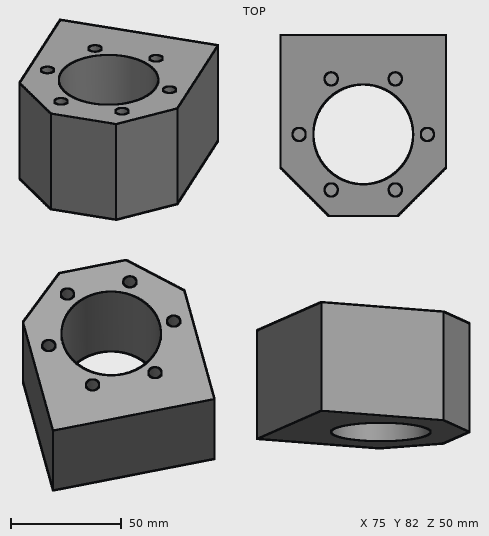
import cadquery as cq

width = 75.0
depth = 82.0
height = 50.0
front_to_bore = 37.0
corner_cut = 22.0

bore_diameter = 45.0

hole_count = 6
hole_diameter = 6.0
hole_circle_diameter = 58.0
hole_depth = 15.0


def make_block():
    """Rectangular block with its two front vertical edges cut off."""
    block = cq.Workplane("XY").box(width, depth, height, centered=(True, False, False))
    block = block.translate((0, -front_to_bore, 0))
    return block.faces("<Y").edges("|Z").chamfer(corner_cut)


def make_bore():
    return cq.Workplane("XY").circle(bore_diameter / 2).extrude(height)


def make_ring_holes():
    """Flat-bottomed holes evenly spaced around the bore, starting on the X axis."""
    return (
        cq.Workplane("XY", origin=(0, 0, height))
        .polarArray(hole_circle_diameter / 2, 0, 360, hole_count)
        .circle(hole_diameter / 2)
        .extrude(-hole_depth)
    )


result = make_block().cut(make_bore()).cut(make_ring_holes())